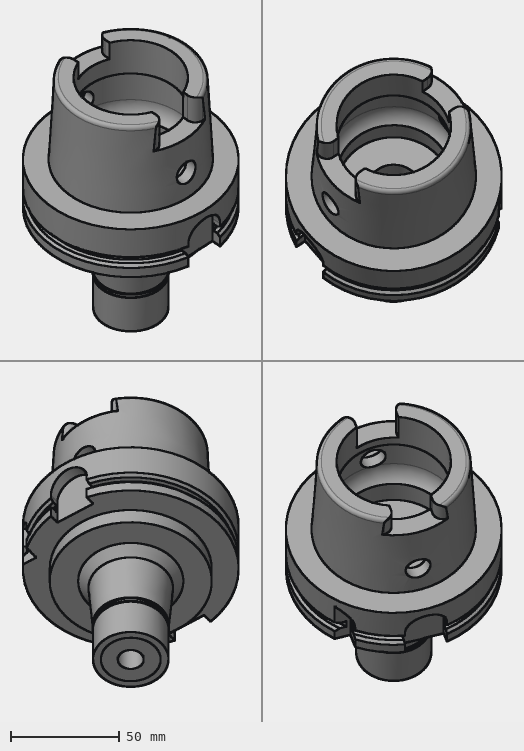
import cadquery as cq
import math


shank_top = 140.0
flange_top = 90.2
flange_bottom = 61.0
collar_bottom = 52.8
neck_top = 48.0
neck_bottom = 23.2
nut_top = 22.5

shank_base_radius = 38.1
shank_slope = 0.05
shank_top_radius = shank_base_radius - shank_slope * (shank_top - flange_top)
shank_rim_fillet = 2.1

flange_radius = 50.0
groove_radius = 45.6
groove_bottom = 67.9
groove_top = 71.8
groove_chamfer_width = 1.8
groove_chamfer_height = 1.3

collar_radius = 37.5
cone_top_radius = 24.4
neck_top_radius = 19.6
nose_radius = 13.9

mouth_radius = 26.5
mouth_bottom = 119.7
chamber_radius = 31.5
chamber_bottom = 99.4
chamber_cone_angle = 120.0
chamber_curve_radius = 10.0
well_radius = mouth_radius
well_floor = 79.0
socket_radius = 12.0
socket_depth = 14.0
coolant_radius = 6.0

cross_hole_radius = 6.0
cross_hole_height = 105.0

drive_half_width = 10.1
drive_corner_radius = 4.9
drive_flat_distance = 32.3
left_drive_floor = 130.0
right_drive_floor = 124.7

keyway_radius = 10.2
keyway_top = 85.1
keyway_floor_distance = 43.8
notch_floor_distance = 31.5
notch_offset = 41.5

nut_radius = 17.5
nut_rim_radius = 17.6
nut_rim_bottom = 20.9
nut_rim_taper_height = 0.4
neck_bottom_radius = nut_rim_radius

cutter_reach = 2 * flange_radius


def make_holder_blank():
    """Turned outside of the holder, before the bore and the slots."""
    lip_radius = flange_radius - groove_chamfer_width
    blank = (
        cq.Workplane("YZ")
        .moveTo(0, 0)
        .lineTo(nose_radius, 0)
        .lineTo(nose_radius, neck_bottom)
        .lineTo(neck_bottom_radius, neck_bottom)
        .lineTo(neck_top_radius, neck_top)
        .lineTo(cone_top_radius, collar_bottom)
        .lineTo(collar_radius, collar_bottom)
        .lineTo(collar_radius, flange_bottom)
        .lineTo(flange_radius, flange_bottom)
        .lineTo(flange_radius, groove_bottom - groove_chamfer_height)
        .lineTo(lip_radius, groove_bottom)
        .lineTo(groove_radius, groove_bottom)
        .lineTo(groove_radius, groove_top)
        .lineTo(lip_radius, groove_top)
        .lineTo(flange_radius, groove_top + groove_chamfer_height)
        .lineTo(flange_radius, flange_top)
        .lineTo(shank_base_radius, flange_top)
        .lineTo(shank_top_radius, shank_top)
        .lineTo(0, shank_top)
        .close()
        .revolve(360, (0, 0, 0), (0, 1, 0))
    )
    return blank.faces(">Z").edges().fillet(shank_rim_fillet)


def make_bore():
    """Cutter for the mouth, chamber, well, socket in the well's floor and coolant hole."""
    curve_sweep = math.acos(1 - (chamber_radius - well_radius) / chamber_curve_radius)
    curve_centre_radius = chamber_radius - chamber_curve_radius
    curve_middle = (
        curve_centre_radius + chamber_curve_radius * math.cos(curve_sweep / 2),
        chamber_bottom - chamber_curve_radius * math.sin(curve_sweep / 2),
    )
    well_top = chamber_bottom - chamber_curve_radius * math.sin(curve_sweep)
    cone_height = (chamber_radius - mouth_radius) / math.tan(math.radians(chamber_cone_angle / 2))
    socket_floor = well_floor - socket_depth
    return (
        cq.Workplane("YZ")
        .moveTo(0, 0)
        .lineTo(coolant_radius, 0)
        .lineTo(coolant_radius, socket_floor)
        .lineTo(socket_radius, socket_floor)
        .lineTo(socket_radius, well_floor)
        .lineTo(well_radius, well_floor)
        .lineTo(well_radius, well_top)
        .threePointArc(curve_middle, (chamber_radius, chamber_bottom))
        .lineTo(chamber_radius, mouth_bottom - cone_height)
        .lineTo(mouth_radius, mouth_bottom)
        .lineTo(mouth_radius, shank_top)
        .lineTo(0, shank_top)
        .close()
        .revolve(360, (0, 0, 0), (0, 1, 0))
    )


def make_cross_hole():
    """Cutter for the wrench hole through both sides of the shank."""
    return (
        cq.Workplane("YZ")
        .center(0, cross_hole_height)
        .circle(cross_hole_radius)
        .extrude(cutter_reach, both=True)
    )


def make_drive_slot(side, floor):
    """Cutter for one drive slot; side is -1 for -X and +1 for +X."""
    arc_start = side * (drive_flat_distance - drive_corner_radius)
    flat = side * drive_flat_distance
    flat_start = drive_half_width + drive_corner_radius
    outer = side * cutter_reach
    corner_leg = drive_corner_radius * math.sqrt(0.5)
    arc_middle = (arc_start + side * corner_leg, flat_start - corner_leg)
    return (
        cq.Workplane("XY", origin=(0, 0, floor))
        .moveTo(0, -drive_half_width)
        .lineTo(arc_start, -drive_half_width)
        .threePointArc((arc_middle[0], -arc_middle[1]), (flat, -flat_start))
        .lineTo(flat, -shank_base_radius)
        .lineTo(outer, -shank_base_radius)
        .lineTo(outer, shank_base_radius)
        .lineTo(flat, shank_base_radius)
        .lineTo(flat, flat_start)
        .threePointArc(arc_middle, (arc_start, drive_half_width))
        .lineTo(0, drive_half_width)
        .close()
        .extrude(shank_top - floor)
    )


def make_keyway(side, floor_distance, offset):
    """Cutter for a round-topped keyway, open at the flange's underside and facing side * X."""
    arch_centre = keyway_top - keyway_radius
    return (
        cq.Workplane("YZ", origin=(side * floor_distance, offset, 0))
        .moveTo(-keyway_radius, flange_bottom)
        .lineTo(-keyway_radius, arch_centre)
        .threePointArc((0, keyway_top), (keyway_radius, arch_centre))
        .lineTo(keyway_radius, flange_bottom)
        .close()
        .extrude(side * cutter_reach)
    )


def make_holder():
    """Holder: shank, flange, neck and the nose that fills the nut."""
    holder = make_holder_blank().cut(make_bore()).cut(make_cross_hole())
    for side, floor in ((-1, left_drive_floor), (1, right_drive_floor)):
        holder = holder.cut(make_drive_slot(side, floor))
    for side in (-1, 1):
        holder = holder.cut(make_keyway(side, keyway_floor_distance, 0))
    return holder.cut(make_keyway(-1, notch_floor_distance, notch_offset))


def make_nut():
    """Clamping nut: a rimmed ring around the holder's nose, short of the neck by a narrow gap."""
    return (
        cq.Workplane("YZ")
        .moveTo(nose_radius, 0)
        .lineTo(nut_radius, 0)
        .lineTo(nut_radius, nut_rim_bottom - nut_rim_taper_height)
        .lineTo(nut_rim_radius, nut_rim_bottom)
        .lineTo(nut_rim_radius, nut_top)
        .lineTo(nose_radius, nut_top)
        .close()
        .revolve(360, (0, 0, 0), (0, 1, 0))
    )


holder = make_holder()
nut = make_nut()

result = cq.Compound.makeCompound([holder.val(), nut.val()])